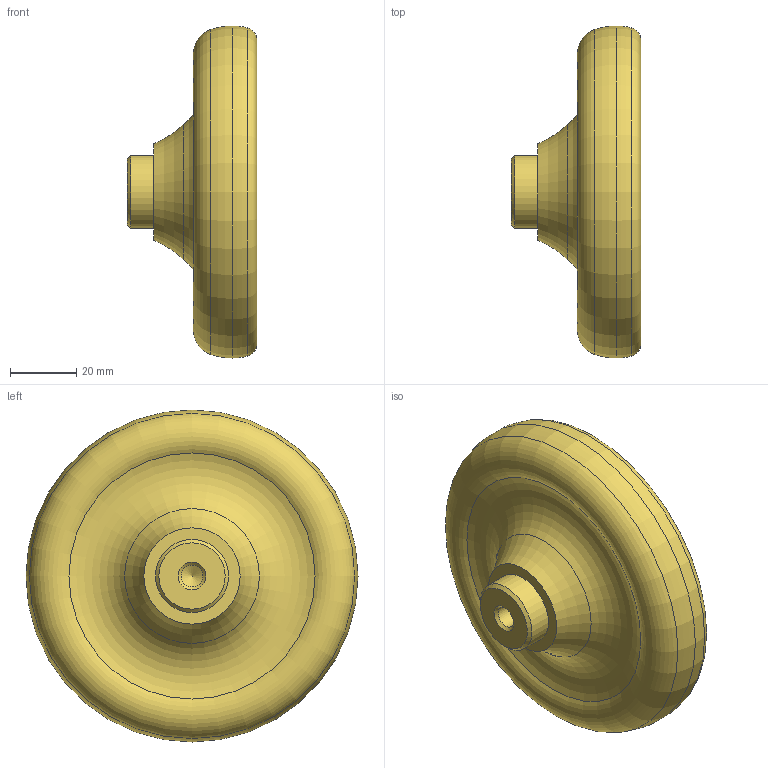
import cadquery as cq
import math


LENGTH = 39.0
WHEEL_RADIUS = 50.0

STUB_RADIUS = 11.0
STUB_CHAMFER = 1.0
HUB_FACE_X = 8.0
HUB_FACE_RADIUS = 14.5
FLARE_END_X = 16.9
FLARE_END_RADIUS = 20.3
FLARE_SAG = 0.5

DISH_OUTER_RADIUS = 37.05
DISH_SAG = 3.0

RIM_FRONT_X = 19.9
CROWN_PEAK_X = 31.6
CROWN_ARC = 20.0
FRONT_ARC = 7.8
BACK_ARC = 3.75

HOLE_RADIUS = 3.3
HOLE_DEPTH = 16.0
COUNTERSINK_RADIUS = 4.2
DRILL_POINT_ANGLE = 118.0

CROWN_CENTRE = (CROWN_PEAK_X, WHEEL_RADIUS - CROWN_ARC)


def blend_centre(centre_x, arc_radius):
    """Centre of an arc that touches the crown arc from inside."""
    offset = centre_x - CROWN_CENTRE[0]
    rise = math.sqrt((CROWN_ARC - arc_radius) ** 2 - offset**2)
    return (centre_x, CROWN_CENTRE[1] + rise)


def crown_tangent_point(arc_centre, arc_radius):
    """Point where a blended arc meets the crown arc."""
    reach = CROWN_ARC / (CROWN_ARC - arc_radius)
    x = CROWN_CENTRE[0] + (arc_centre[0] - CROWN_CENTRE[0]) * reach
    r = CROWN_CENTRE[1] + (arc_centre[1] - CROWN_CENTRE[1]) * reach
    return (x, r)


def point_on_arc(centre, arc_radius, start, end):
    """Point of the arc halfway between two of its points, on their side."""
    dx = (start[0] + end[0]) / 2 - centre[0]
    dr = (start[1] + end[1]) / 2 - centre[1]
    scale = arc_radius / math.hypot(dx, dr)
    return (centre[0] + dx * scale, centre[1] + dr * scale)


def make_wheel():
    front_centre = blend_centre(RIM_FRONT_X + FRONT_ARC, FRONT_ARC)
    back_centre = blend_centre(LENGTH - BACK_ARC, BACK_ARC)
    front_join = crown_tangent_point(front_centre, FRONT_ARC)
    back_join = crown_tangent_point(back_centre, BACK_ARC)
    back_edge = (LENGTH, back_centre[1])
    crown_peak = (CROWN_PEAK_X, WHEEL_RADIUS)

    dish_drop = front_centre[1] - DISH_OUTER_RADIUS
    dish_outer_x = front_centre[0] - math.sqrt(FRONT_ARC**2 - dish_drop**2)
    dish_outer = (dish_outer_x, DISH_OUTER_RADIUS)
    flare_end = (FLARE_END_X, FLARE_END_RADIUS)
    rim_front = (RIM_FRONT_X, front_centre[1])

    profile = (
        cq.Workplane("XZ")
        .moveTo(HUB_FACE_X, 0)
        .lineTo(LENGTH, 0)
        .lineTo(*back_edge)
        .threePointArc(point_on_arc(back_centre, BACK_ARC, back_edge, back_join), back_join)
        .threePointArc(point_on_arc(CROWN_CENTRE, CROWN_ARC, back_join, crown_peak), crown_peak)
        .threePointArc(point_on_arc(CROWN_CENTRE, CROWN_ARC, crown_peak, front_join), front_join)
        .threePointArc(rim_front, dish_outer)
        .sagittaArc(flare_end, DISH_SAG)
        .sagittaArc((HUB_FACE_X, HUB_FACE_RADIUS), FLARE_SAG)
        .close()
    )
    return profile.revolve(360, (0, 0, 0), (1, 0, 0))


def make_stub():
    stub = cq.Workplane("YZ").circle(STUB_RADIUS).extrude(HUB_FACE_X)
    return stub.faces("<X").chamfer(STUB_CHAMFER)


def make_hole():
    countersink_depth = COUNTERSINK_RADIUS - HOLE_RADIUS
    point_depth = HOLE_RADIUS / math.tan(math.radians(DRILL_POINT_ANGLE / 2))
    profile = (
        cq.Workplane("XY")
        .lineTo(0, COUNTERSINK_RADIUS)
        .lineTo(countersink_depth, HOLE_RADIUS)
        .lineTo(HOLE_DEPTH, HOLE_RADIUS)
        .lineTo(HOLE_DEPTH + point_depth, 0)
        .close()
    )
    return profile.revolve(360, (0, 0, 0), (1, 0, 0))


result = make_wheel().union(make_stub()).cut(make_hole())